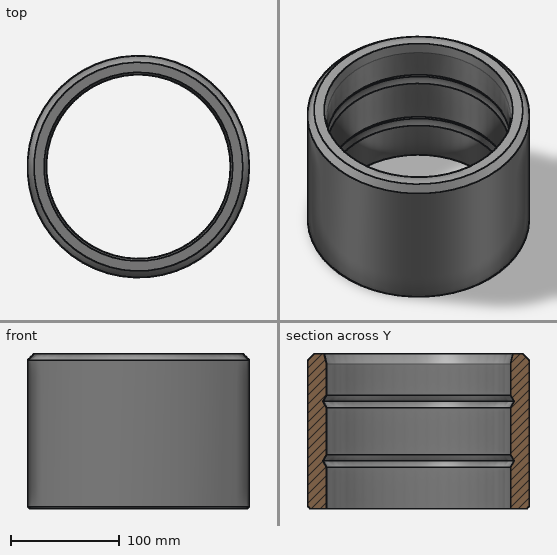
import cadquery as cq

outer_diameter = 204.5
bore_diameter = 169.3
height = 143.0

top_chamfer = 6.1
bottom_chamfer = 2.0
lead_in_diameter = 173.8
lead_in_depth = 9.2

groove_diameter = 175.9
groove_width = 11.5
groove_spacing = 54.8

outer_radius = outer_diameter / 2
bore_radius = bore_diameter / 2


def make_sleeve():
    """Revolve the wall section with its outer chamfers and bore lead-in."""
    return (
        cq.Workplane("XZ")
        .moveTo(bore_radius, 0)
        .lineTo(outer_radius - bottom_chamfer, 0)
        .lineTo(outer_radius, bottom_chamfer)
        .lineTo(outer_radius, height - top_chamfer)
        .lineTo(outer_radius - top_chamfer, height)
        .lineTo(lead_in_diameter / 2, height)
        .lineTo(bore_radius, height - lead_in_depth)
        .close()
        .revolve(360, (0, 0, 0), (0, 1, 0))
    )


def make_groove(center_z):
    """Ring with a triangular section that cuts one V groove into the bore."""
    return (
        cq.Workplane("XZ")
        .moveTo(bore_radius, center_z - groove_width / 2)
        .lineTo(groove_diameter / 2, center_z)
        .lineTo(bore_radius, center_z + groove_width / 2)
        .close()
        .revolve(360, (0, 0, 0), (0, 1, 0))
    )


result = make_sleeve()
for side in (-1, 1):
    result = result.cut(make_groove(height / 2 + side * groove_spacing / 2))